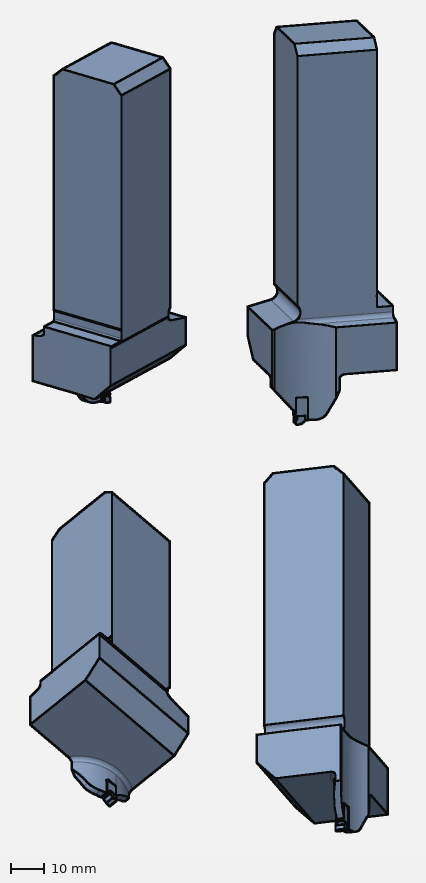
import cadquery as cq
import math


TOOL_LENGTH = 119.0
SHANK_LEFT = 4.3
SHANK_RIGHT = 29.6
SHANK_FRONT = 5.0
SHANK_BACK = 30.1
LEFT_CHAMFER_WIDTH = 3.2
RIGHT_CHAMFER_WIDTH = 2.9
CHAMFER_HEIGHT = 3.0

HEAD_RIGHT = 29.3
HEAD_DEPTH = 38.5
HEAD_BOTTOM = 16.0
HEAD_SIDE_TOP = 34.5
HEAD_CHAMFER = 6.0
SHOULDER_EDGE_HEIGHT = 30.9
SHOULDER_SLOPE = math.radians(12.5)
SHOULDER_FILLET = 1.5

LEDGE_HEIGHT = 35.0
RELIEF_DEPTH = 0.1
RELIEF_BOTTOM = 35.8
RELIEF_TOP = 38.8
RELIEF_RUNOUT = 0.4
LEDGE_RUNOUT = 0.1

UNDERCUT_RADIUS = 2.7
UNDERCUT_DEPTH = 1.0

CUTTING_CENTRE_Y = 30.6
OUTER_RADIUS = 18.0
OUTER_REACH = 4.0
OUTER_ARC_END_Y = 37.8
INNER_RADIUS = 15.6
INNER_REACH = 6.4
BLADE_BOTTOM = 1.4
BLADE_FRONT = 18.0
BLADE_FRONT_SLOPE_TOP = 11.1
BLADE_FRONT_SLOPE = math.radians(64.5)
BLADE_NOSE_RADIUS = 3.9
BLADE_BACK_SLOPE_TOP = 12.7
BLADE_BACK_SLOPE_BOTTOM = 3.7
BLADE_ROOT_FILLET = 1.3

INSERT_FRONT = 26.9
INSERT_BOTTOM = 1.2
INSERT_TOP = 8.6
INSERT_LEFT = 4.0
INSERT_CORNER = 0.5
RIDGE_BOTTOM = 2.7
RIDGE_TOP = 3.6
RIDGE_HEIGHT = 0.4
TIP_LEFT = 3.9
TIP_RIGHT = 6.8
TIP_FRONT = 27.7
TIP_EDGE = 0.2
TIP_RELIEF_Y = 28.9
TIP_RELIEF_HEIGHT = 0.2
TIP_HOLLOW_BOTTOM = 1.5
TIP_HOLLOW_TOP = 1.9
TIP_HOLLOW_DEPTH = 0.4


def extrude_along_x(points, x_start, x_end):
    """Prism along X with an outline given as (y, z) points."""
    return cq.Workplane("YZ", origin=(x_start, 0, 0)).polyline(points).close().extrude(x_end - x_start)


def vertical_cylinder(reach, radius):
    """Full-height cylinder whose +X-most line lies at x = reach, level with the cutting centre."""
    return (
        cq.Workplane("XY")
        .center(reach - radius, CUTTING_CENTRE_Y)
        .circle(radius)
        .extrude(TOOL_LENGTH)
    )


def shoulder_height(distance):
    """Height of a shoulder at a distance inward from its outer edge."""
    return SHOULDER_EDGE_HEIGHT + distance * math.tan(SHOULDER_SLOPE)


def make_shank_and_head():
    """Shank and head: the front outline and the side outline, each extruded, where they meet."""
    left_corner_z = shoulder_height(SHANK_LEFT)
    chamfer_z = TOOL_LENGTH - CHAMFER_HEIGHT
    front_outline = [
        (0, HEAD_BOTTOM),
        (0, SHOULDER_EDGE_HEIGHT),
        (SHANK_LEFT, left_corner_z),
        (SHANK_LEFT, chamfer_z),
        (SHANK_LEFT + LEFT_CHAMFER_WIDTH, TOOL_LENGTH),
        (SHANK_RIGHT - RIGHT_CHAMFER_WIDTH, TOOL_LENGTH),
        (SHANK_RIGHT, chamfer_z),
        (SHANK_RIGHT, HEAD_SIDE_TOP),
        (HEAD_RIGHT, HEAD_SIDE_TOP),
        (HEAD_RIGHT, HEAD_BOTTOM + HEAD_CHAMFER),
        (HEAD_RIGHT - HEAD_CHAMFER, HEAD_BOTTOM),
    ]
    front_prism = (
        cq.Workplane("XZ")
        .polyline(front_outline)
        .close()
        .extrude(-HEAD_DEPTH)
        .edges(cq.NearestToPointSelector((SHANK_LEFT, HEAD_DEPTH / 2, left_corner_z)))
        .fillet(SHOULDER_FILLET)
    )
    relief_y = SHANK_FRONT + RELIEF_DEPTH
    undercut_y = SHANK_BACK - UNDERCUT_DEPTH + UNDERCUT_RADIUS
    tangent_y = undercut_y - UNDERCUT_RADIUS * math.sin(SHOULDER_SLOPE)
    tangent_z = shoulder_height(HEAD_DEPTH - tangent_y)
    undercut_z = tangent_z + UNDERCUT_RADIUS * math.cos(SHOULDER_SLOPE)
    undercut_rise = math.sqrt(UNDERCUT_RADIUS**2 - (undercut_y - SHANK_BACK) ** 2)
    side_prism = (
        cq.Workplane("YZ")
        .moveTo(0, HEAD_BOTTOM)
        .lineTo(0, LEDGE_HEIGHT)
        .lineTo(SHANK_FRONT - LEDGE_RUNOUT, LEDGE_HEIGHT)
        .lineTo(relief_y, RELIEF_BOTTOM)
        .lineTo(relief_y, RELIEF_TOP - RELIEF_RUNOUT)
        .lineTo(SHANK_FRONT, RELIEF_TOP)
        .lineTo(SHANK_FRONT, TOOL_LENGTH)
        .lineTo(SHANK_BACK, TOOL_LENGTH)
        .lineTo(SHANK_BACK, undercut_z + undercut_rise)
        .threePointArc((SHANK_BACK - UNDERCUT_DEPTH, undercut_z), (tangent_y, tangent_z))
        .lineTo(HEAD_DEPTH, SHOULDER_EDGE_HEIGHT)
        .lineTo(HEAD_DEPTH, HEAD_BOTTOM)
        .close()
        .extrude(SHANK_RIGHT)
    )
    return front_prism.intersect(side_prism)


def make_blade():
    """Blade below the head, bounded inside by the inner cylinder."""
    corner_y = BLADE_FRONT + (BLADE_FRONT_SLOPE_TOP - BLADE_BOTTOM) / math.tan(BLADE_FRONT_SLOPE)
    outline = [
        (BLADE_FRONT, HEAD_BOTTOM),
        (BLADE_FRONT, BLADE_FRONT_SLOPE_TOP),
        (corner_y, BLADE_BOTTOM),
        (CUTTING_CENTRE_Y, BLADE_BOTTOM),
        (CUTTING_CENTRE_Y, BLADE_BACK_SLOPE_BOTTOM),
        (HEAD_DEPTH, BLADE_BACK_SLOPE_TOP),
        (HEAD_DEPTH, HEAD_BOTTOM),
    ]
    nose_edge = cq.NearestToPointSelector((INNER_REACH / 2, corner_y, BLADE_BOTTOM))
    prism = extrude_along_x(outline, 0, INNER_REACH).edges(nose_edge).fillet(BLADE_NOSE_RADIUS)
    return prism.intersect(vertical_cylinder(INNER_REACH, INNER_RADIUS))


def make_outer_clearance():
    """Space removed from the -X side: the outer cylinder and a narrow flat behind it."""
    arc_end_rise = OUTER_ARC_END_Y - CUTTING_CENTRE_Y
    flat_x = OUTER_REACH - OUTER_RADIUS + math.sqrt(OUTER_RADIUS**2 - arc_end_rise**2)
    flat = cq.Workplane("XY").box(
        flat_x, HEAD_DEPTH - OUTER_ARC_END_Y, TOOL_LENGTH, centered=False
    )
    return vertical_cylinder(OUTER_REACH, OUTER_RADIUS).union(flat.translate((0, OUTER_ARC_END_Y, 0)))


def rounded_seat_block(bottom, x_start, x_end):
    """Block between the insert's front and rake planes, with its upper front edge rounded."""
    outline = [
        (INSERT_FRONT, bottom),
        (INSERT_FRONT, INSERT_TOP),
        (CUTTING_CENTRE_Y, INSERT_TOP),
        (CUTTING_CENTRE_Y, bottom),
    ]
    seat_edge = cq.NearestToPointSelector(((x_start + x_end) / 2, INSERT_FRONT, INSERT_TOP))
    return extrude_along_x(outline, x_start, x_end).edges(seat_edge).fillet(INSERT_CORNER)


def make_insert_body():
    """Insert body with a chip-breaking ridge at the foot of its rake face."""
    ridge_y = CUTTING_CENTRE_Y + RIDGE_HEIGHT
    hollow_y = CUTTING_CENTRE_Y - TIP_HOLLOW_DEPTH
    ridge = [
        (hollow_y, RIDGE_TOP),
        (ridge_y, RIDGE_TOP),
        (ridge_y, RIDGE_BOTTOM),
        (CUTTING_CENTRE_Y, RIDGE_BOTTOM),
        (hollow_y, TIP_HOLLOW_TOP),
    ]
    hollow_cut = [
        (hollow_y, INSERT_BOTTOM),
        (hollow_y, TIP_HOLLOW_TOP),
        (CUTTING_CENTRE_Y, RIDGE_BOTTOM),
        (CUTTING_CENTRE_Y, INSERT_BOTTOM),
    ]
    block = rounded_seat_block(INSERT_BOTTOM, INSERT_LEFT, INNER_REACH)
    return block.cut(extrude_along_x(hollow_cut, INSERT_LEFT, INNER_REACH)).union(
        extrude_along_x(ridge, INSERT_LEFT, INNER_REACH)
    )


def make_insert_tip():
    """Wider cutting tip with a relieved underside and a hollow in its rake face."""
    outline = [
        (TIP_FRONT, INSERT_BOTTOM),
        (TIP_FRONT, RIDGE_BOTTOM),
        (CUTTING_CENTRE_Y, RIDGE_BOTTOM),
        (CUTTING_CENTRE_Y - TIP_HOLLOW_DEPTH, TIP_HOLLOW_TOP),
        (CUTTING_CENTRE_Y, TIP_HOLLOW_BOTTOM),
        (CUTTING_CENTRE_Y, TIP_EDGE),
        (CUTTING_CENTRE_Y - TIP_EDGE, 0),
        (TIP_RELIEF_Y, TIP_RELIEF_HEIGHT),
    ]
    return extrude_along_x(outline, TIP_LEFT, TIP_RIGHT)


def make_holder():
    root_edge = cq.NearestToPointSelector((INNER_REACH, CUTTING_CENTRE_Y, HEAD_BOTTOM))
    head_and_blade = make_shank_and_head().union(make_blade()).edges(root_edge).fillet(BLADE_ROOT_FILLET)
    pocket = rounded_seat_block(0, 0, SHANK_RIGHT)
    return head_and_blade.cut(make_outer_clearance()).cut(pocket)


def make_insert():
    return make_insert_body().union(make_insert_tip())


holder = make_holder()
insert = make_insert()
result = cq.Compound.makeCompound([holder.val(), insert.val()])